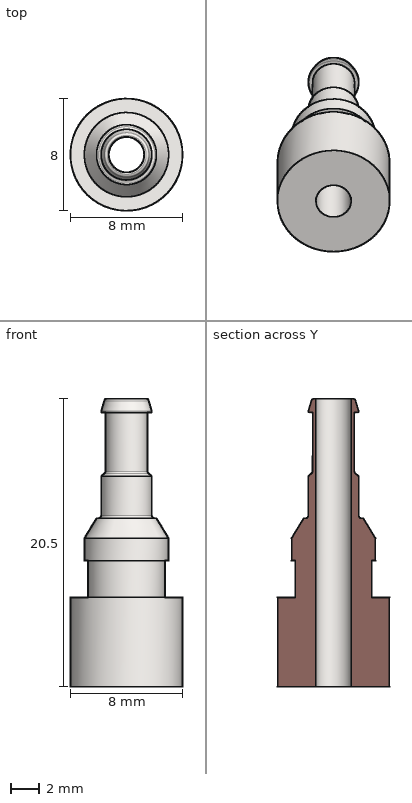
import cadquery as cq

base_diameter = 8.0
neck_diameter = 5.5
collar_diameter = 6.0
shoulder_diameter = 4.26
sleeve_diameter = 3.6
stem_diameter = 3.0
lip_diameter = sleeve_diameter
tip_diameter = 3.08
bore_diameter = 2.5

total_height = 20.5
base_top = 6.35
neck_top = 8.98
collar_top = 10.55
shoulder_height = 12.0
sleeve_top = 14.99
stem_bottom = 15.25
lip_bottom = 19.5

lip_band_height = 0.12
lip_round = 0.06
tip_round = 0.2
stem_root_round = 0.18
sleeve_root_round = 0.2


def build_body():
    """Revolve the stepped outer profile, given as (diameter, height) corners."""
    corners = [
        (0, 0),
        (base_diameter, 0),
        (base_diameter, base_top),
        (neck_diameter, base_top),
        (neck_diameter, neck_top),
        (collar_diameter, neck_top),
        (collar_diameter, collar_top),
        (shoulder_diameter, shoulder_height),
        (sleeve_diameter, shoulder_height),
        (sleeve_diameter, sleeve_top),
        (stem_diameter, stem_bottom),
        (stem_diameter, lip_bottom),
        (lip_diameter, lip_bottom),
        (lip_diameter, lip_bottom + lip_band_height),
        (tip_diameter, total_height),
        (0, total_height),
    ]
    profile = cq.Workplane("XZ").polyline([(d / 2, z) for d, z in corners]).close()
    return profile.revolve(360, (0, 0, 0), (0, 1, 0))


def round_edge(body, diameter, height, radius):
    """Fillet the circular edge of the given diameter at the given height."""
    half = diameter / 2
    margin = 0.01
    selector = cq.selectors.BoxSelector(
        (-half - margin, -half - margin, height - margin),
        (half + margin, half + margin, height + margin),
        boundingbox=True,
    )
    return body.edges(selector).edges(cq.selectors.RadiusNthSelector(-1)).fillet(radius)


body = build_body()
body = round_edge(body, tip_diameter, total_height, tip_round)
body = round_edge(body, lip_diameter, lip_bottom, lip_round)
body = round_edge(body, stem_diameter, stem_bottom, stem_root_round)
body = round_edge(body, sleeve_diameter, shoulder_height, sleeve_root_round)

bore = cq.Workplane("XY").circle(bore_diameter / 2).extrude(total_height)
result = body.cut(bore)